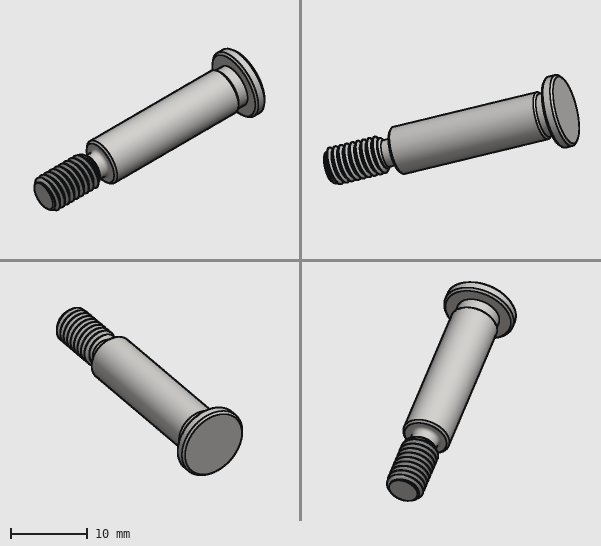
import cadquery as cq
import math

total_length = 33.35
head_thickness = 1.6
neck_length = 1.47
tail_length = 9.47
thread_length = 8.0

head_radius = 4.77
neck_radius = 2.9
shoulder_radius = 3.17
relief_radius = 1.8
tip_radius = 1.95

edge_chamfer = 0.3
relief_fillet = 0.47

thread_radius = 2.5
thread_root_radius = 2.0
thread_pitch = 0.8
crest_width = thread_pitch / 8
flank_angle = 30.0
first_groove_height = 0.35
cutter_overlap = 0.07

head_start = total_length - head_thickness
shoulder_end = head_start - neck_length
neck_chamfer = shoulder_radius - neck_radius
tip_chamfer = thread_radius - tip_radius
thread_run_in = thread_radius - relief_radius


def turned_body():
    """Revolved screw blank about Z, with its tip at the origin."""
    fillet_mid = relief_fillet * (1 - math.sqrt(0.5))
    return (
        cq.Workplane("XZ")
        .moveTo(0, 0)
        .lineTo(tip_radius, 0)
        .lineTo(thread_radius, tip_chamfer)
        .lineTo(thread_radius, thread_length - thread_run_in)
        .lineTo(relief_radius, thread_length)
        .lineTo(relief_radius, tail_length - relief_fillet)
        .threePointArc(
            (relief_radius + fillet_mid, tail_length - fillet_mid),
            (relief_radius + relief_fillet, tail_length),
        )
        .lineTo(shoulder_radius - edge_chamfer, tail_length)
        .lineTo(shoulder_radius, tail_length + edge_chamfer)
        .lineTo(shoulder_radius, shoulder_end - neck_chamfer)
        .lineTo(neck_radius, shoulder_end)
        .lineTo(neck_radius, head_start)
        .lineTo(head_radius - edge_chamfer, head_start)
        .lineTo(head_radius, head_start + edge_chamfer)
        .lineTo(head_radius, total_length - edge_chamfer)
        .lineTo(head_radius - edge_chamfer, total_length)
        .lineTo(0, total_length)
        .close()
        .revolve(360, (0, 0, 0), (0, 1, 0))
    )


def groove_turn(start):
    """One helical turn of groove cutter, centred at height start on the +X side."""
    flank_slope = math.tan(math.radians(flank_angle))
    half_opening = (thread_pitch - crest_width) / 2
    half_root = half_opening - (thread_radius - thread_root_radius) * flank_slope
    half_outer = half_opening + cutter_overlap * flank_slope
    outer_radius = thread_radius + cutter_overlap

    path = cq.Wire.makeHelix(
        thread_pitch, thread_pitch, thread_root_radius, cq.Vector(0, 0, start)
    )
    return (
        cq.Workplane("XZ")
        .moveTo(thread_root_radius, start - half_root)
        .lineTo(outer_radius, start - half_outer)
        .lineTo(outer_radius, start + half_outer)
        .lineTo(thread_root_radius, start + half_root)
        .close()
        .sweep(cq.Workplane(obj=path), isFrenet=True)
    )


def threaded_screw():
    """Screw blank with the groove cut turn by turn from below the tip into the relief."""
    screw = turned_body()
    first_start = first_groove_height - thread_pitch
    turn_count = math.ceil((thread_length - first_start) / thread_pitch)
    for turn in range(turn_count):
        screw = screw.cut(groove_turn(first_start + turn * thread_pitch))
    return screw


result = threaded_screw().rotate((0, 0, 0), (1, 0, 0), -90).solids()